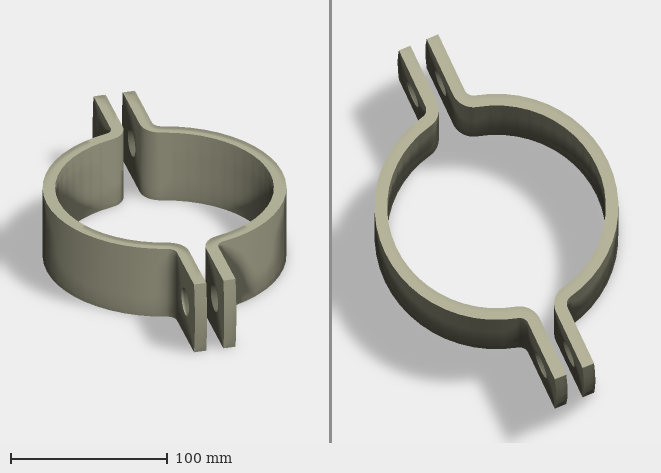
import cadquery as cq
import math

overall_length = 251.5
outer_diameter = 155.6
strip_thickness = 8.0
strip_width = 50.0
gap = 11.3
bend_inner_radius = 6.0
hole_diameter = 18.4
hole_spacing = 203.7
end_radius = 150.9

outer_radius = outer_diameter / 2
inner_radius = outer_radius - strip_thickness
bend_outer_radius = bend_inner_radius + strip_thickness
half_length = overall_length / 2
ear_inner_y = gap / 2
ear_outer_y = ear_inner_y + strip_thickness

bend_y = ear_outer_y + bend_inner_radius
bend_angle = math.asin(bend_y / (outer_radius + bend_inner_radius))
bend_x = (outer_radius + bend_inner_radius) * math.cos(bend_angle)


def band_point(radius):
    """Point at the +X end of a band arc, where it runs into the bend."""
    return (radius * math.cos(bend_angle), radius * math.sin(bend_angle))


def bend_point(radius):
    """Middle of a bend arc, halfway between the ear and the band."""
    middle_angle = (math.pi + bend_angle + 1.5 * math.pi) / 2
    return (bend_x + radius * math.cos(middle_angle), bend_y + radius * math.sin(middle_angle))


def mirrored(point):
    """Same point on the -X side."""
    return (-point[0], point[1])


def strip():
    """Bent strip of the +Y half: arched band, two bends and two flat ears."""
    outer_end = band_point(outer_radius)
    inner_end = band_point(inner_radius)
    outer_bend = bend_point(bend_inner_radius)
    inner_bend = bend_point(bend_outer_radius)
    return (
        cq.Workplane("XY")
        .moveTo(half_length, ear_inner_y)
        .lineTo(half_length, ear_outer_y)
        .lineTo(bend_x, ear_outer_y)
        .threePointArc(outer_bend, outer_end)
        .threePointArc((0, outer_radius), mirrored(outer_end))
        .threePointArc(mirrored(outer_bend), (-bend_x, ear_outer_y))
        .lineTo(-half_length, ear_outer_y)
        .lineTo(-half_length, ear_inner_y)
        .lineTo(-bend_x, ear_inner_y)
        .threePointArc(mirrored(inner_bend), mirrored(inner_end))
        .threePointArc((0, inner_radius), inner_end)
        .threePointArc(inner_bend, (bend_x, ear_inner_y))
        .close()
        .extrude(strip_width / 2, both=True)
    )


def end_trim():
    """Block along Y whose bulging X ends give the ears their rounded ends."""
    half_width = strip_width / 2
    corner_x = half_length - end_radius + math.sqrt(end_radius**2 - half_width**2)
    return (
        cq.Workplane("XZ")
        .moveTo(-corner_x, half_width)
        .lineTo(corner_x, half_width)
        .threePointArc((half_length, 0), (corner_x, -half_width))
        .lineTo(-corner_x, -half_width)
        .threePointArc((-half_length, 0), (-corner_x, half_width))
        .close()
        .extrude(outer_diameter, both=True)
    )


def bolt_holes():
    """Bolt hole cutters through both ears."""
    return (
        cq.Workplane("XZ")
        .pushPoints([(-hole_spacing / 2, 0), (hole_spacing / 2, 0)])
        .circle(hole_diameter / 2)
        .extrude(ear_outer_y * 2, both=True)
    )


def clamp_half(turn):
    """One clamp half, turned about Z by the given angle in degrees."""
    half = strip().intersect(end_trim()).cut(bolt_holes())
    return half.rotate((0, 0, 0), (0, 0, 1), turn)


clamp_halves = [clamp_half(turn).val() for turn in (0, 180)]

result = cq.Compound.makeCompound(clamp_halves)